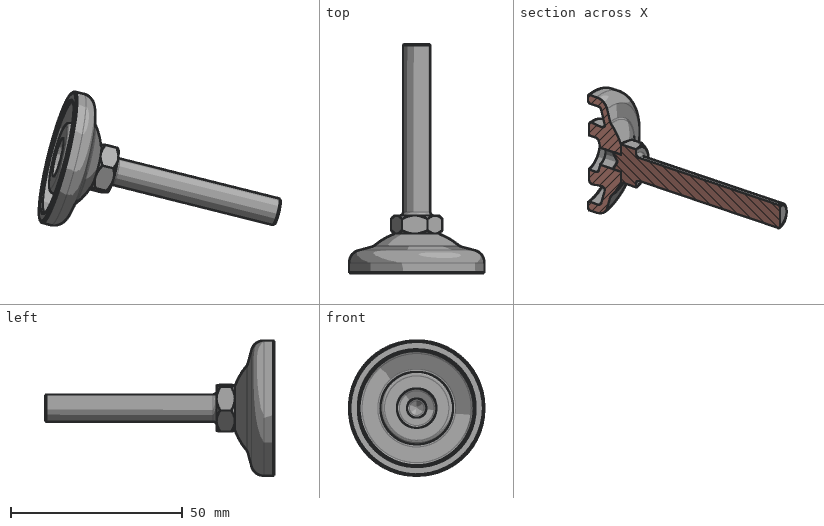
import cadquery as cq
import math

TOTAL_LENGTH = 66.8

PAD_RADIUS = 19.73
RIM_CHAMFER = 0.5
RIM_HEIGHT = 3.1
SHOULDER_RADIUS = 3.8
SKIRT_ANGLE = math.radians(15)
DOME_RADIUS = 18.7
DOME_FOOT_RADIUS = 12.55
PAD_HEIGHT = 11.55
PAD_TOP_RADIUS = 6.5
DOME_FILLET = 1.35

HOLLOW_RADIUS = 16.6
HOLLOW_CHAMFER = 0.55
HOLLOW_WALL_HEIGHT = 4.35
HOLLOW_FILLET = 1.0
BOSS_FACE_RADIUS = 10.75
BOSS_ROOT_RADIUS = 9.95
BOSS_RECESS = 0.35
BOSS_EDGE_FILLET = 1.2
BOSS_ROOT_FILLET = 0.95

BORE_RADIUS = 5.75
BORE_CORNER_HEIGHT = 3.5
BORE_CORNER_FILLET = 0.95
NECK_RADIUS = 2.8

STUD_RADIUS = 4.0
STUD_TIP_CHAMFER = 0.5
HEX_ACROSS_FLATS = 13.0
HEX_HEIGHT = 5.3
HEX_TURN = 5.0
HEX_CHAMFER = 1.0
STUD_ROOT_FILLET = 1.0
NECK_END = 8.7
NECK_DISH_DEPTH = 0.3
CENTRE_HOLE_RADIUS = 2.15
CENTRE_HOLE_DEPTH = 1.3


def revolve_about_y(profile):
    """Turn a closed (radius, y) profile fully about the Y axis."""
    return profile.close().revolve(360, (0, 0, 0), (0, 1, 0))


def circle_at(radius, height):
    """Return a test for the circular edge of a turned body with this radius and height."""
    margin = 0.035

    def matches(edge):
        box = edge.BoundingBox()
        return abs(box.xmax - radius) < margin and abs(edge.Center().y - height) < margin

    return matches


def make_pad():
    arc_centre_radius = PAD_RADIUS - SHOULDER_RADIUS

    def shoulder_point(angle):
        return (
            arc_centre_radius + SHOULDER_RADIUS * math.cos(angle),
            RIM_HEIGHT + SHOULDER_RADIUS * math.sin(angle),
        )

    shoulder_end_angle = math.pi / 2 - SKIRT_ANGLE
    shoulder_end = shoulder_point(shoulder_end_angle)
    dome_foot_height = shoulder_end[1] + (shoulder_end[0] - DOME_FOOT_RADIUS) * math.tan(SKIRT_ANGLE)
    dome_centre = PAD_HEIGHT - math.sqrt(DOME_RADIUS**2 - PAD_TOP_RADIUS**2)
    dome_middle_radius = (DOME_FOOT_RADIUS + PAD_TOP_RADIUS) / 2
    dome_middle_height = dome_centre + math.sqrt(DOME_RADIUS**2 - dome_middle_radius**2)
    seat_inner_height = BORE_CORNER_HEIGHT + (BORE_RADIUS - NECK_RADIUS) * math.tan(SKIRT_ANGLE)
    floor_inner_height = HOLLOW_WALL_HEIGHT + (HOLLOW_RADIUS - BOSS_ROOT_RADIUS) * math.tan(SKIRT_ANGLE)

    pad = revolve_about_y(
        cq.Workplane("XY")
        .moveTo(NECK_RADIUS, PAD_HEIGHT)
        .lineTo(NECK_RADIUS, seat_inner_height)
        .lineTo(BORE_RADIUS, BORE_CORNER_HEIGHT)
        .lineTo(BORE_RADIUS, BOSS_RECESS)
        .lineTo(BOSS_FACE_RADIUS, BOSS_RECESS)
        .lineTo(BOSS_ROOT_RADIUS, floor_inner_height)
        .lineTo(HOLLOW_RADIUS, HOLLOW_WALL_HEIGHT)
        .lineTo(HOLLOW_RADIUS, HOLLOW_CHAMFER)
        .lineTo(HOLLOW_RADIUS + HOLLOW_CHAMFER, 0)
        .lineTo(PAD_RADIUS - RIM_CHAMFER, 0)
        .lineTo(PAD_RADIUS, RIM_CHAMFER)
        .lineTo(PAD_RADIUS, RIM_HEIGHT)
        .threePointArc(shoulder_point(shoulder_end_angle / 2), shoulder_end)
        .lineTo(DOME_FOOT_RADIUS, dome_foot_height)
        .threePointArc((dome_middle_radius, dome_middle_height), (PAD_TOP_RADIUS, PAD_HEIGHT))
    )
    blends = [
        (BOSS_FACE_RADIUS, BOSS_RECESS, BOSS_EDGE_FILLET),
        (BOSS_ROOT_RADIUS, floor_inner_height, BOSS_ROOT_FILLET),
        (BORE_RADIUS, BORE_CORNER_HEIGHT, BORE_CORNER_FILLET),
        (HOLLOW_RADIUS, HOLLOW_WALL_HEIGHT, HOLLOW_FILLET),
        (DOME_FOOT_RADIUS, dome_foot_height, DOME_FILLET),
    ]
    for radius, height, fillet in blends:
        pad = pad.edges().filter(circle_at(radius, height)).fillet(fillet)
    return pad


def make_hex():
    """Hexagon collar with both ends chamfered at 45 degrees."""
    end_radius = HEX_ACROSS_FLATS / 2
    corner_radius = end_radius / math.cos(math.pi / 6)
    top = PAD_HEIGHT + HEX_HEIGHT
    prism = (
        cq.Workplane("XZ", origin=(0, PAD_HEIGHT, 0))
        .transformed(rotate=(0, 0, HEX_TURN))
        .polygon(6, 2 * corner_radius)
        .extrude(-HEX_HEIGHT)
    )
    chamfer_envelope = revolve_about_y(
        cq.Workplane("XY")
        .moveTo(0, PAD_HEIGHT)
        .lineTo(end_radius, PAD_HEIGHT)
        .lineTo(end_radius + HEX_CHAMFER, PAD_HEIGHT + HEX_CHAMFER)
        .lineTo(end_radius + HEX_CHAMFER, top - HEX_CHAMFER)
        .lineTo(end_radius, top)
        .lineTo(0, top)
    )
    return prism.intersect(chamfer_envelope)


def make_stud():
    hex_top = PAD_HEIGHT + HEX_HEIGHT
    fillet_mid = STUD_ROOT_FILLET * (1 - math.sqrt(0.5))
    shaft = revolve_about_y(
        cq.Workplane("XY")
        .moveTo(0, NECK_END + NECK_DISH_DEPTH + CENTRE_HOLE_DEPTH)
        .lineTo(CENTRE_HOLE_RADIUS, NECK_END + NECK_DISH_DEPTH)
        .lineTo(NECK_RADIUS, NECK_END)
        .lineTo(NECK_RADIUS, PAD_HEIGHT)
        .lineTo(STUD_RADIUS + STUD_ROOT_FILLET, PAD_HEIGHT)
        .lineTo(STUD_RADIUS + STUD_ROOT_FILLET, hex_top)
        .threePointArc(
            (STUD_RADIUS + fillet_mid, hex_top + fillet_mid),
            (STUD_RADIUS, hex_top + STUD_ROOT_FILLET),
        )
        .lineTo(STUD_RADIUS, TOTAL_LENGTH - STUD_TIP_CHAMFER)
        .lineTo(STUD_RADIUS - STUD_TIP_CHAMFER, TOTAL_LENGTH)
        .lineTo(0, TOTAL_LENGTH)
    )
    return shaft.union(make_hex())


pad = make_pad()
stud = make_stud()

result = cq.Compound.makeCompound([pad.val(), stud.val()])